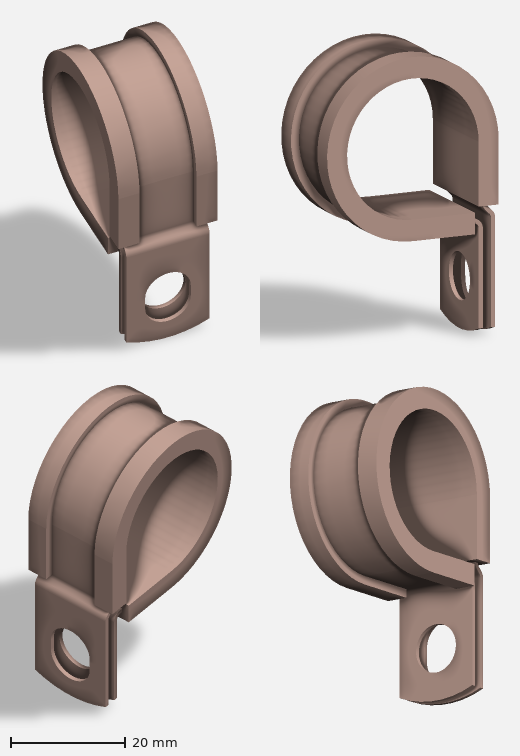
import cadquery as cq
import math


outer_radius = 16.57
bore_radius = 12.7
cushion_width = 18.92
lower_leg_end_x = 12.03
upper_leg_end_z = -11.66

strap_thickness = 0.8
strap_width = 15.9
strap_outer_radius = 15.02
strap_inner_radius = strap_outer_radius - strap_thickness
groove_width = 10.86

overall_height = 52.2
tab_tip_z = outer_radius - overall_height
tip_radius = 20.0
hole_diameter = 8.7
hole_z = -26.2
slot_travel = 2.4
slot_length = hole_diameter + slot_travel
lower_tab_outer_x = 14.2
lower_bend_inner_radius = 0.9
lower_bend_outer_radius = lower_bend_inner_radius + strap_thickness
jog_angle = math.radians(45)
jog_inner_radius = 0.8
jog_outer_radius = jog_inner_radius + strap_thickness
jog_offset = outer_radius - strap_outer_radius


def point_on_arc(center, radius, angle):
    return (center[0] + radius * math.cos(angle), center[1] + radius * math.sin(angle))


def extrude_across(sketch, width):
    """Extrude an XZ outline by the given width, centred on Y = 0."""
    return sketch.extrude(width / 2, both=True)


def leg_loop(inner, outer, width):
    """Three-quarter ring with one straight leg along +X and one along -Z."""
    diagonal = math.radians(135)
    sketch = (
        cq.Workplane("XZ")
        .moveTo(lower_leg_end_x, -outer)
        .lineTo(0, -outer)
        .threePointArc(point_on_arc((0, 0), outer, diagonal), (outer, 0))
        .lineTo(outer, upper_leg_end_z)
        .lineTo(inner, upper_leg_end_z)
        .lineTo(inner, 0)
        .threePointArc(point_on_arc((0, 0), inner, diagonal), (0, -inner))
        .lineTo(lower_leg_end_x, -inner)
        .close()
    )
    return extrude_across(sketch, width)


def make_cushion():
    """Cushion with a groove around its outside that is as deep as the strap's outer face."""
    full_loop = leg_loop(bore_radius, outer_radius, cushion_width)
    groove = leg_loop(strap_outer_radius, outer_radius, groove_width)
    return full_loop.cut(groove)


def make_lower_tab():
    """Strap leaving the lower leg along +X and turning 90 degrees down."""
    inner_x = lower_tab_outer_x - strap_thickness
    bend_center = (lower_tab_outer_x - lower_bend_outer_radius, -strap_inner_radius - lower_bend_outer_radius)
    middle = math.radians(45)
    sketch = (
        cq.Workplane("XZ")
        .moveTo(0, -strap_inner_radius)
        .lineTo(bend_center[0], -strap_inner_radius)
        .threePointArc(
            point_on_arc(bend_center, lower_bend_outer_radius, middle),
            (lower_tab_outer_x, bend_center[1]),
        )
        .lineTo(lower_tab_outer_x, tab_tip_z)
        .lineTo(inner_x, tab_tip_z)
        .lineTo(inner_x, bend_center[1])
        .threePointArc(
            point_on_arc(bend_center, lower_bend_inner_radius, middle),
            (bend_center[0], -strap_outer_radius),
        )
        .lineTo(0, -strap_outer_radius)
        .close()
    )
    return extrude_across(sketch, strap_width)


def make_upper_tab():
    """Strap leaving the upper leg downwards and jogging out to the cushion's outer face."""
    outer_x = outer_radius
    inner_x = outer_x - strap_thickness
    radius_sum = jog_inner_radius + jog_outer_radius
    diagonal_run = jog_offset - radius_sum * (1 - math.cos(jog_angle))
    jog_height = radius_sum * math.sin(jog_angle) + diagonal_run / math.tan(jog_angle)
    first_center = (strap_outer_radius + jog_inner_radius, upper_leg_end_z)
    second_center = (inner_x - jog_inner_radius, upper_leg_end_z - jog_height)
    first_end = math.pi + jog_angle
    first_middle = math.pi + jog_angle / 2
    sketch = (
        cq.Workplane("XZ")
        .moveTo(strap_outer_radius, 0)
        .lineTo(strap_outer_radius, upper_leg_end_z)
        .threePointArc(
            point_on_arc(first_center, jog_inner_radius, first_middle),
            point_on_arc(first_center, jog_inner_radius, first_end),
        )
        .lineTo(*point_on_arc(second_center, jog_outer_radius, jog_angle))
        .threePointArc(
            point_on_arc(second_center, jog_outer_radius, jog_angle / 2),
            (outer_x, second_center[1]),
        )
        .lineTo(outer_x, tab_tip_z)
        .lineTo(inner_x, tab_tip_z)
        .lineTo(inner_x, second_center[1])
        .threePointArc(
            point_on_arc(second_center, jog_inner_radius, jog_angle / 2),
            point_on_arc(second_center, jog_inner_radius, jog_angle),
        )
        .lineTo(*point_on_arc(first_center, jog_outer_radius, first_end))
        .threePointArc(
            point_on_arc(first_center, jog_outer_radius, first_middle),
            (strap_inner_radius, upper_leg_end_z),
        )
        .lineTo(strap_inner_radius, 0)
        .close()
    )
    return extrude_across(sketch, strap_width)


def make_tab_profile():
    """Side profile shared by both tabs: straight sides and a rounded tip."""
    half_width = strap_width / 2
    corner_z = tab_tip_z + tip_radius - math.sqrt(tip_radius**2 - half_width**2)
    return (
        cq.Workplane("YZ")
        .moveTo(-half_width, 0)
        .lineTo(-half_width, corner_z)
        .threePointArc((0, tab_tip_z), (half_width, corner_z))
        .lineTo(half_width, 0)
        .close()
        .extrude(outer_radius)
    )


def make_lower_hole():
    """Round bolt hole, cut along X through the lower tab only."""
    return cq.Workplane("YZ").center(0, hole_z).circle(hole_diameter / 2).extrude(lower_tab_outer_x)


def make_upper_slot():
    """Upright bolt slot, cut along X through the upper tab only."""
    return (
        cq.Workplane("YZ", origin=(lower_tab_outer_x, 0, 0))
        .center(0, hole_z)
        .slot2D(slot_length, hole_diameter, 90)
        .extrude(outer_radius - lower_tab_outer_x)
    )


tab_profile = make_tab_profile()
lower_tab = make_lower_tab().intersect(tab_profile).cut(make_lower_hole())
upper_tab = make_upper_tab().intersect(tab_profile).cut(make_upper_slot())
result = make_cushion().union(lower_tab).union(upper_tab)